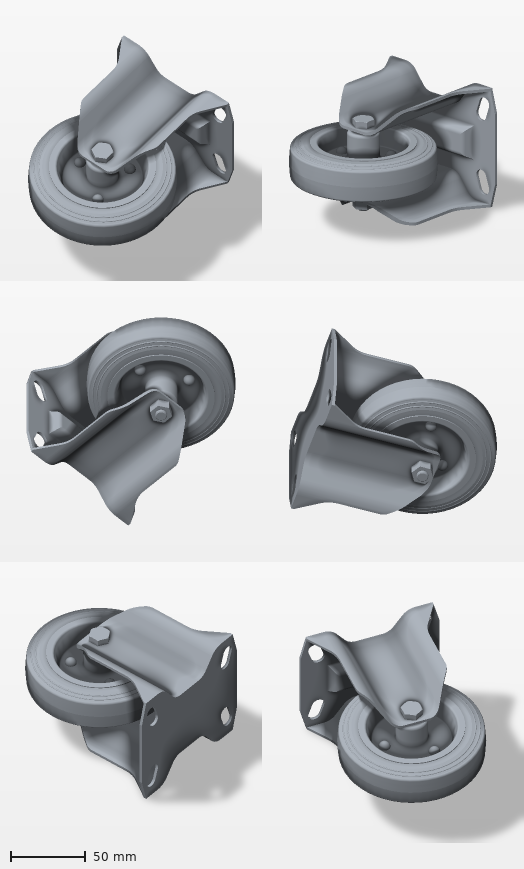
import cadquery as cq
import math


tolerance = 0.01

sheet = 2.0
overall_length = 128
plate_width = 100.0
tyre_radius = plate_width / 2
plate_back_y = overall_length - tyre_radius
plate_front_y = plate_back_y - sheet
plate_height = 85.0
plate_end_width = 91.1
plate_side_height = 51.0

slot_width = 9.0
slot_outer_end = (40.2, 30.2)
slot_inner_end = (37.5, 22.1)

boss_length = 60.7
boss_height = 23.8
boss_depth = 6.9
boss_taper = 28
boss_edge_radius = 3.3
boss_root_radius = 1.4

bend_inner = 10.0
bend_outer = bend_inner + sheet
bend_angle = math.radians(52.3)
arm_flat_half = 9.5
arm_outer_z = plate_height / 2
arm_seat_z = 25.6
arm_inner_z = arm_seat_z - sheet

bend_radii = bend_inner + bend_outer
slope_rise = arm_outer_z - arm_seat_z - bend_radii * (1 - math.cos(bend_angle))
slope_run = slope_rise / math.tan(bend_angle)
low_bend = (arm_flat_half, arm_seat_z + bend_inner)
high_bend = (
    arm_flat_half + bend_radii * math.sin(bend_angle) + slope_run,
    arm_outer_z - bend_outer,
)

arm_half_width = 32.4
arm_shoulder_y = 55.5
arm_corner_y = 17.0
arm_tip_y = -9.0
arm_tip_half = 15.1
shoulder_radius = 20.0
corner_radius = 10.0

hub_diameter = 22.0
hub_half = 22.0
hub_edge_radius = 2.0
hub_root_radius = 3.1
neck_diameter = 12.0
bore_diameter = 8.0
rim_diameter = 72.0
rim_half = 14.0
web_half = 1.5
recess_floor_radius = 26.9
recess_mouth_radius = 31.0
recess_edge_radius = 1.5
recess_root_radius = 1.0
rivet_count = 3
first_rivet_angle = 60
rivet_diameter = 8.0
rivet_circle_radius = 19.6

side_inner_height = 13.2
side_cylinder_diameter = 81.0
bead_starts = [(42.5, 12.7), (45.5, 11.9)]
bead_width = 0.9
bead_crest = 0.1
bead_drop = 0.4
tread_edge = (49.3, 9.5)
tread_edge_radius = 1.5
tread_bands = [(49.5, 6.5), (49.8, 3.1), (tyre_radius, 0)]

hex_across_flats = 13.0
hex_corner_diameter = hex_across_flats / math.cos(math.radians(30))
head_chamfer_diameter = 13.5
head_chamfer_angle = math.radians(30)
head_height = 5.0
nut_height = 6.7
bolt_tip_length = 2.2
bolt_tip_diameter = 6.7
bolt_end_z = -(arm_seat_z + nut_height + bolt_tip_length)


def bend_point(bend, side, radius, fraction):
    """Point on a bend arc; side 1 is the low bend at the seat, -1 the high bend at the edge."""
    centre_x, centre_z = bend
    angle = fraction * bend_angle
    return (centre_x + side * radius * math.sin(angle), centre_z - side * radius * math.cos(angle))


def outer_half_section():
    """Open path along the outer face of the upper arm, from the middle to its +X end."""
    return (
        cq.Workplane("XZ", origin=(0, plate_back_y, 0))
        .moveTo(0, arm_seat_z)
        .lineTo(*bend_point(low_bend, 1, bend_inner, 0))
        .threePointArc(bend_point(low_bend, 1, bend_inner, 0.5), bend_point(low_bend, 1, bend_inner, 1))
        .lineTo(*bend_point(high_bend, -1, bend_outer, 1))
        .threePointArc(bend_point(high_bend, -1, bend_outer, 0.5), bend_point(high_bend, -1, bend_outer, 0))
        .lineTo(plate_end_width / 2, arm_outer_z)
    )


def make_plate():
    """Plate with slanted ends, waisted along the arms, with four slots and a stiffening boss."""
    half_w, side_h = plate_width / 2, plate_side_height / 2
    quarter = outer_half_section().lineTo(half_w, side_h).lineTo(half_w, 0).lineTo(0, 0).close()
    quarter = quarter.extrude(sheet)
    half = quarter.union(quarter.mirror("XY"))
    plate = half.union(half.mirror("YZ"))

    front_face = cq.Workplane("XZ", origin=(0, plate_front_y, 0))
    run_x = slot_outer_end[0] - slot_inner_end[0]
    run_z = slot_outer_end[1] - slot_inner_end[1]
    length = math.hypot(run_x, run_z) + slot_width
    slant = math.degrees(math.atan2(run_z, run_x))
    centre_x = (slot_outer_end[0] + slot_inner_end[0]) / 2
    centre_z = (slot_outer_end[1] + slot_inner_end[1]) / 2
    for side_x in (1, -1):
        for side_z in (1, -1):
            slot = (
                front_face.center(side_x * centre_x, side_z * centre_z)
                .slot2D(length, slot_width, side_x * side_z * slant)
                .extrude(-sheet)
            )
            plate = plate.cut(slot)

    boss = (
        front_face.rect(boss_length, boss_height)
        .extrude(boss_depth, taper=boss_taper)
        .faces("<Y").edges().fillet(boss_edge_radius)
    )
    plate = plate.union(boss)
    root_edges = [
        e for e in plate.edges("|X or |Z").vals()
        if abs(e.Center().y - plate_front_y) < tolerance
        and max(abs(e.Center().x) - boss_length / 2, abs(e.Center().z) - boss_height / 2) < tolerance
    ]
    return plate.newObject(root_edges).fillet(boss_root_radius)


def make_arm():
    """Upper arm: a bent strip trimmed to the arm outline."""
    end_x = plate_end_width / 2
    half_strip = (
        outer_half_section()
        .lineTo(end_x, arm_outer_z - sheet)
        .lineTo(*bend_point(high_bend, -1, bend_inner, 0))
        .threePointArc(bend_point(high_bend, -1, bend_inner, 0.5), bend_point(high_bend, -1, bend_inner, 1))
        .lineTo(*bend_point(low_bend, 1, bend_outer, 1))
        .threePointArc(bend_point(low_bend, 1, bend_outer, 0.5), bend_point(low_bend, 1, bend_outer, 0))
        .lineTo(0, arm_inner_z)
        .close()
        .extrude(plate_back_y - arm_tip_y)
    )
    strip = half_strip.union(half_strip.mirror("YZ"))

    right_side = [
        (end_x, plate_back_y), (end_x, plate_front_y), (arm_half_width, arm_shoulder_y),
        (arm_half_width, arm_corner_y), (arm_tip_half, arm_tip_y),
    ]
    left_side = [(-x, y) for x, y in reversed(right_side)]
    outline = cq.Workplane("XY").polyline(right_side + left_side).close().extrude(plate_height)
    for y, radius in (
        (arm_shoulder_y, shoulder_radius), (arm_corner_y, corner_radius), (arm_tip_y, corner_radius),
    ):
        corner_edges = [e for e in outline.edges("|Z").vals() if abs(e.Center().y - y) < tolerance]
        outline = outline.newObject(corner_edges).fillet(radius)
    return strip.intersect(outline)


def make_bracket():
    """Plate and two mirrored arms, drilled for the bolt."""
    arm = make_arm()
    bolt_hole = cq.Workplane("XY").circle(bore_diameter / 2).extrude(plate_height / 2, both=True)
    return make_plate().union(arm).union(arm.mirror("XY")).cut(bolt_hole)


def round_circle(body, radius, height, fillet_radius):
    """Fillet the circular edge with the given radius and height about the wheel axis."""
    edges = [
        e for e in body.edges("%CIRCLE").vals()
        if abs(e.radius() - radius) < tolerance and abs(e.Center().z - height) < tolerance
    ]
    return body.newObject(edges).fillet(fillet_radius)


def make_rim():
    """Rim ring, riveted web and stepped hub, the same on both faces."""
    hub_r, neck_r = hub_diameter / 2, neck_diameter / 2
    upper_half = (
        cq.Workplane("XZ")
        .polyline([
            (0, 0), (0, arm_inner_z), (neck_r, arm_inner_z), (neck_r, hub_half), (hub_r, hub_half),
            (hub_r, web_half), (recess_floor_radius, web_half), (recess_mouth_radius, rim_half),
            (rim_diameter / 2, rim_half), (rim_diameter / 2, 0),
        ])
        .close()
        .revolve(360, (0, 0, 0), (0, 1, 0))
    )

    upper_half = round_circle(upper_half, hub_r, hub_half, hub_edge_radius)
    upper_half = round_circle(upper_half, hub_r, web_half, hub_root_radius)
    upper_half = round_circle(upper_half, recess_floor_radius, web_half, recess_root_radius)
    upper_half = round_circle(upper_half, recess_mouth_radius, rim_half, recess_edge_radius)

    rivets = (
        cq.Workplane("XY", origin=(0, 0, web_half))
        .polarArray(rivet_circle_radius, first_rivet_angle, 360, rivet_count)
        .sphere(rivet_diameter / 2)
    )
    upper_half = upper_half.union(rivets)
    below = cq.Workplane("XY").circle(rim_diameter).extrude(-rim_half)
    upper_half = upper_half.cut(below)
    bore = cq.Workplane("XY").circle(bore_diameter / 2).extrude(arm_seat_z, both=True)
    return upper_half.union(upper_half.mirror("XY")).cut(bore)


def make_tyre():
    """Crowned tread and sloping side walls with two raised beads, the same on both faces."""
    profile = (
        cq.Workplane("XZ")
        .moveTo(rim_diameter / 2, 0)
        .lineTo(rim_diameter / 2, side_inner_height)
        .lineTo(side_cylinder_diameter / 2, side_inner_height)
    )
    for radius, height in bead_starts:
        crest = (radius + bead_width / 2, height + bead_crest)
        end = (radius + bead_width, height - bead_drop)
        profile = profile.lineTo(radius, height).threePointArc(crest, end)

    edge_radius, edge_height = tread_edge
    arc_x, cos_45 = edge_radius - tread_edge_radius, math.cos(math.radians(45))
    arc_middle = (arc_x + tread_edge_radius * cos_45, edge_height + tread_edge_radius * cos_45)
    profile = profile.lineTo(arc_x, edge_height + tread_edge_radius).threePointArc(arc_middle, tread_edge)
    for point in tread_bands:
        profile = profile.lineTo(*point)
    upper_half = profile.close().revolve(360, (0, 0, 0), (0, 1, 0))
    return upper_half.union(upper_half.mirror("XY"))


def make_hexagon(base_z, height):
    """Hexagonal prism with two corners on the Y axis."""
    return (
        cq.Workplane("XY", origin=(0, 0, base_z))
        .transformed(rotate=(0, 0, 90))
        .polygon(6, hex_corner_diameter)
        .extrude(height)
    )


def make_bolt():
    """Hexagon bolt, its head corners turned off to a cone."""
    head_top = arm_seat_z + head_height
    head_radius, chamfer_radius = hex_corner_diameter / 2, head_chamfer_diameter / 2
    chamfer_drop = (head_radius - chamfer_radius) * math.tan(head_chamfer_angle)
    cone_blank = (
        cq.Workplane("XZ")
        .polyline([
            (0, arm_seat_z), (head_radius, arm_seat_z), (head_radius, head_top - chamfer_drop),
            (chamfer_radius, head_top), (0, head_top),
        ])
        .close()
        .revolve(360, (0, 0, 0), (0, 1, 0))
    )
    head = make_hexagon(arm_seat_z, head_height).intersect(cone_blank)
    shank = (
        cq.Workplane("XY", origin=(0, 0, bolt_end_z))
        .circle(bore_diameter / 2)
        .extrude(arm_seat_z - bolt_end_z)
        .faces("<Z").chamfer((bore_diameter - bolt_tip_diameter) / 2)
    )
    return head.union(shank)


def make_nut():
    """Hexagon nut against the lower arm."""
    thread = cq.Workplane("XY").circle(bore_diameter / 2).extrude(bolt_end_z)
    return make_hexagon(-arm_seat_z - nut_height, nut_height).cut(thread)


bracket = make_bracket()
rim = make_rim()
tyre = make_tyre()
bolt = make_bolt()
nut = make_nut()

result = cq.Compound.makeCompound([bracket.val(), rim.val(), tyre.val(), bolt.val(), nut.val()])